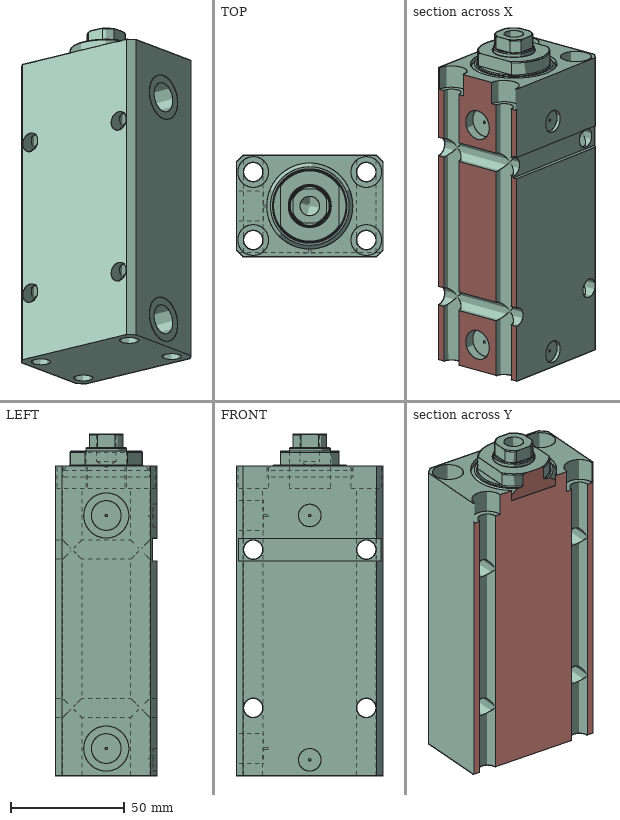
import cadquery as cq
import math

TOTAL_HEIGHT = 151.0

BLOCK_WIDTH = 65.0
BLOCK_DEPTH = 45.0
BLOCK_HEIGHT = 137.0
CORNER_CHAMFER = 3.0

BOLT_SPACING_X = 50.0
BOLT_SPACING_Y = 30.0
BOLT_DIAMETER = 8.5
COUNTERBORE_DIAMETER = 13.6
COUNTERBORE_DEPTH = 10.0
CROSS_BOLT_HEIGHTS = (30.0, 100.0)

SLOT_HEIGHT = 10.0
SLOT_DEPTH = 2.0

PORT_HEIGHTS = (12.1, 115.0)
PORT_DIAMETER = 13.1
PORT_DEPTH = 12.1
SPOTFACE_DIAMETER = 20.0
SPOTFACE_DEPTH = 0.2

SEAT_HEIGHTS = (7.1, 115.0)
SEAT_DIAMETER = 10.0
SEAT_DEPTH = 1.8

PASSAGE_DIAMETER = 1.0
PASSAGE_LENGTH = 2.0

FLANGE_DIAMETER = 38.0
FLANGE_TOP_DIAMETER = 34.7
FLANGE_HEIGHT = 5.0
FLANGE_CONE_HEIGHT = 2.0
SKIRT_DIAMETER = 32.9
SKIRT_HEIGHT = 0.5
COLLAR_DIAMETER = 32.0
COLLAR_TOP = 143.5
COLLAR_FLATS = 26.0
BORE_COUNTERSINK = 0.5

ROD_DIAMETER = 18.1
ROD_SOCKET_DEPTH = 5.0
SHANK_TOP = 145.1
STUD_DIAMETER = 16.9
STUD_FLATS = 15.0
THREAD_HOLE_DIAMETER = 8.6
THREAD_HOLE_DEPTH = 12.1
DRILL_TIP_HALF_ANGLE = 59

EDGE_CHAMFER = 0.5

FLANGE_BOTTOM = BLOCK_HEIGHT - FLANGE_HEIGHT
ROD_BOTTOM = FLANGE_BOTTOM - ROD_SOCKET_DEPTH


def cylinder(diameter, bottom, top):
    """Round bar on the Z axis between two heights."""
    return cq.Workplane("XY").workplane(offset=bottom).circle(diameter / 2).extrude(top - bottom)


def rectangular_bar(width, depth):
    """Rectangular bar on the Z axis, as tall as the whole assembly."""
    return cq.Workplane("XY").box(width, depth, TOTAL_HEIGHT, centered=(True, True, False))


def bore_from_left(diameter, height, start, depth):
    """Round cutter running +X from a depth below the -X face."""
    plane = cq.Workplane("YZ", origin=(-BLOCK_WIDTH / 2 + start, 0, height))
    return plane.circle(diameter / 2).extrude(depth)


def bore_from_front(diameter, x, height, start, depth):
    """Round cutter running +Y from a depth below the front face."""
    plane = cq.Workplane("XZ", origin=(x, -BLOCK_DEPTH / 2 + start, height))
    return plane.circle(diameter / 2).extrude(-depth)


def make_housing():
    block = (
        cq.Workplane("XY")
        .box(BLOCK_WIDTH, BLOCK_DEPTH, BLOCK_HEIGHT, centered=(True, True, False))
        .edges("|Z")
        .chamfer(CORNER_CHAMFER)
    )

    block = (
        block.faces(">Z")
        .workplane(origin=(0, 0, BLOCK_HEIGHT))
        .rarray(BOLT_SPACING_X, BOLT_SPACING_Y, 2, 2)
        .cboreHole(BOLT_DIAMETER, COUNTERBORE_DIAMETER, COUNTERBORE_DEPTH)
    )

    slot = cq.Workplane("XY").box(BLOCK_WIDTH, 2 * SLOT_DEPTH, SLOT_HEIGHT)
    block = block.cut(slot.translate((0, -BLOCK_DEPTH / 2, CROSS_BOLT_HEIGHTS[1])))

    for height in CROSS_BOLT_HEIGHTS:
        for x in (-BOLT_SPACING_X / 2, BOLT_SPACING_X / 2):
            block = block.cut(bore_from_front(BOLT_DIAMETER, x, height, 0, BLOCK_DEPTH))

    for height in PORT_HEIGHTS:
        block = block.cut(bore_from_left(SPOTFACE_DIAMETER, height, 0, SPOTFACE_DEPTH))
        block = block.cut(bore_from_left(PORT_DIAMETER, height, 0, PORT_DEPTH))
        block = block.cut(bore_from_left(PASSAGE_DIAMETER, height, PORT_DEPTH, PASSAGE_LENGTH))

    for height in SEAT_HEIGHTS:
        block = block.cut(bore_from_front(SEAT_DIAMETER, 0, height, 0, SEAT_DEPTH))
        block = block.cut(bore_from_front(PASSAGE_DIAMETER, 0, height, SEAT_DEPTH, PASSAGE_LENGTH))

    block = block.cut(cylinder(FLANGE_DIAMETER, FLANGE_BOTTOM, BLOCK_HEIGHT))
    return block.cut(cylinder(ROD_DIAMETER, ROD_BOTTOM, BLOCK_HEIGHT))


def make_gland():
    flange = cylinder(FLANGE_DIAMETER, FLANGE_BOTTOM, BLOCK_HEIGHT)
    cone_width = (FLANGE_DIAMETER - FLANGE_TOP_DIAMETER) / 2
    flange = flange.faces(">Z").edges().chamfer(FLANGE_CONE_HEIGHT, cone_width)

    skirt_top = BLOCK_HEIGHT + SKIRT_HEIGHT
    bevel_width = (SKIRT_DIAMETER - COLLAR_DIAMETER) / 2
    skirt = cylinder(SKIRT_DIAMETER, FLANGE_BOTTOM, skirt_top)
    skirt = skirt.faces(">Z").edges().chamfer(SKIRT_HEIGHT, bevel_width)

    collar = cylinder(COLLAR_DIAMETER, FLANGE_BOTTOM, COLLAR_TOP).faces(">Z").chamfer(EDGE_CHAMFER)
    collar = collar.intersect(rectangular_bar(COLLAR_FLATS, COLLAR_DIAMETER))

    bore = cylinder(ROD_DIAMETER, FLANGE_BOTTOM, COLLAR_TOP)
    gland = flange.union(skirt).union(collar).cut(bore)
    mouth = gland.faces(">Z").edges("%CIRCLE").edges(cq.selectors.RadiusNthSelector(0))
    return mouth.chamfer(BORE_COUNTERSINK)


def make_rod():
    shank = cylinder(ROD_DIAMETER, ROD_BOTTOM, SHANK_TOP).faces(">Z").chamfer(EDGE_CHAMFER)

    stud = cylinder(STUD_DIAMETER, SHANK_TOP, TOTAL_HEIGHT).faces(">Z").chamfer(EDGE_CHAMFER)
    stud = stud.intersect(rectangular_bar(STUD_FLATS, STUD_FLATS))

    hole_bottom = TOTAL_HEIGHT - THREAD_HOLE_DEPTH
    hole_radius = THREAD_HOLE_DIAMETER / 2
    tip_height = hole_radius / math.tan(math.radians(DRILL_TIP_HALF_ANGLE))
    tip = cq.Solid.makeCone(0, hole_radius, tip_height, cq.Vector(0, 0, hole_bottom - tip_height))
    hole = cylinder(THREAD_HOLE_DIAMETER, hole_bottom, TOTAL_HEIGHT)
    return shank.union(stud).cut(hole).cut(cq.Workplane(tip))


housing = make_housing()
gland = make_gland()
rod = make_rod()

result = cq.Compound.makeCompound([housing.solids().val(), gland.solids().val(), rod.solids().val()])